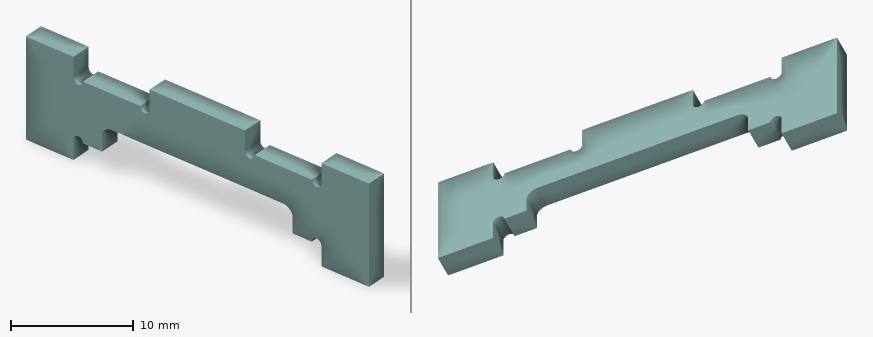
import cadquery as cq

length = 36.0
thickness = 2.0
height = 10.0

end_block_width = 5.0
centre_block_width = 10.0
shoulder_width = 3.0

step_depth = 2.0
arch_height = 4.5
arch_corner_radius = 1.0

relief_radius = 0.5

end_block_inner_x = length / 2 - end_block_width
centre_block_edge_x = centre_block_width / 2
arch_half_width = end_block_inner_x - shoulder_width
top_floor_z = height - step_depth
notch_length = end_block_inner_x - centre_block_edge_x


def prism(centre_x, bottom_z, width, rise):
    """Box through the full plate thickness, centred on centre_x."""
    return (
        cq.Workplane("XY")
        .box(width, thickness, rise, centered=(True, True, False))
        .translate((centre_x, 0, bottom_z))
    )


def corner_relief(centre_x, centre_z):
    """Round cutter through the full plate thickness."""
    return (
        cq.Workplane("XZ", origin=(centre_x, thickness / 2, centre_z))
        .circle(relief_radius)
        .extrude(thickness)
    )


def top_notch(side):
    """Notch between an end block and the centre block, relieved at both corners."""
    outer_relief_x = side * (end_block_inner_x - relief_radius)
    inner_relief_x = side * (centre_block_edge_x + relief_radius)
    notch_centre_x = side * (centre_block_edge_x + end_block_inner_x) / 2
    return (
        prism(notch_centre_x, top_floor_z, notch_length, step_depth)
        .union(corner_relief(outer_relief_x, top_floor_z))
        .union(corner_relief(inner_relief_x, top_floor_z))
    )


def bottom_opening():
    """Shallow opening between the end blocks, relieved at its two corners."""
    opening = prism(0, 0, 2 * end_block_inner_x, step_depth)
    for side in (-1, 1):
        relief_x = side * (end_block_inner_x - relief_radius)
        opening = opening.union(corner_relief(relief_x, step_depth))
    return opening


def arch():
    """Deeper opening under the bridge, with rounded upper corners."""
    return prism(0, 0, 2 * arch_half_width, arch_height).edges("|Y and >Z").fillet(arch_corner_radius)


result = prism(0, 0, length, height)
for notch_side in (-1, 1):
    result = result.cut(top_notch(notch_side))
result = result.cut(bottom_opening()).cut(arch())